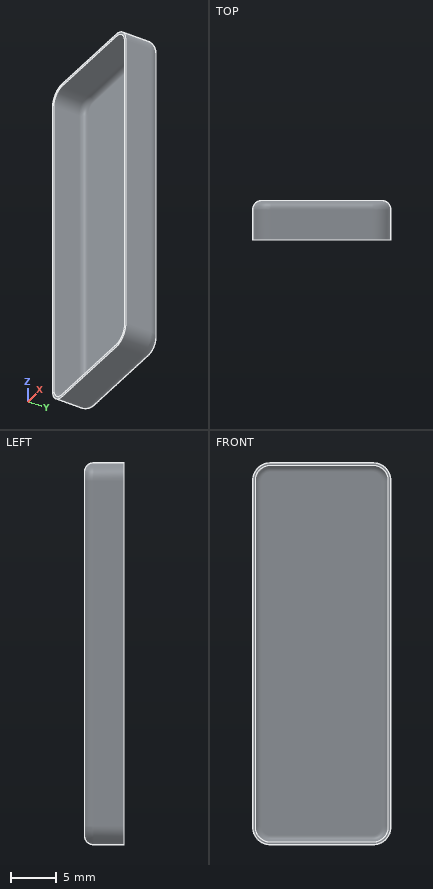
import cadquery as cq

width = 15.3
depth = 4.4
height = 42.3

wall = 0.3
corner_radius = 2.0
back_edge_radius = 1.0


def rounded_block(inset):
    """Block with rounded corners and back edge, inset from the outer sides and back."""
    block_depth = depth - inset
    return (
        cq.Workplane("XY")
        .box(width - 2 * inset, block_depth, height - 2 * inset)
        .translate((0, block_depth / 2, 0))
        .edges("|Y")
        .fillet(corner_radius - inset)
        .faces(">Y")
        .edges()
        .fillet(back_edge_radius - inset)
    )


result = rounded_block(0).cut(rounded_block(wall))